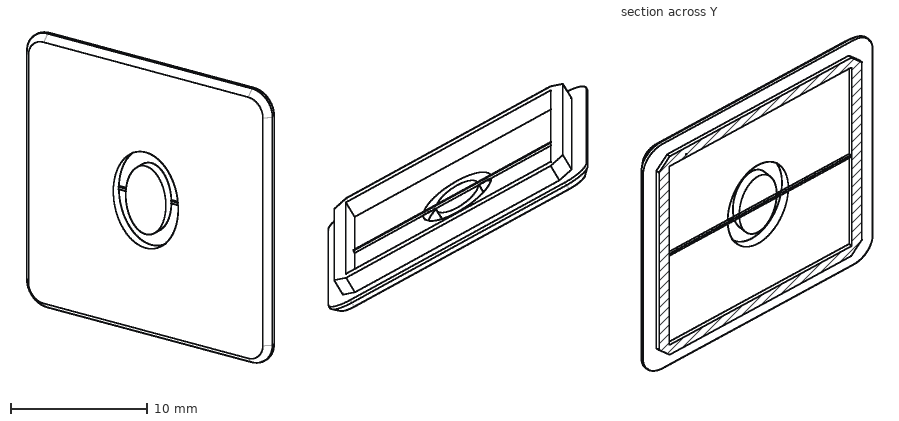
import cadquery as cq

plate_side = 21.85
plate_thickness = 0.75
corner_radius = 1.83
bevel = 0.5

total_depth = 2.03
rim_side = 19.35
rim_corner_cut = 1.03
rim_wall = 1.0
cavity_side = rim_side - 2 * rim_wall
rim_height = total_depth - plate_thickness

island_width = 3.58
island_height = 5.44
opening_gap = 1.1
opening_width = island_width + 2 * opening_gap
opening_height = island_height + 2 * opening_gap
rib_size = 0.2

plate_back = plate_thickness


def plane_at(y):
    """XZ workplane at depth y; a negative extrusion runs towards +Y."""
    return cq.Workplane("XZ", origin=(0, y, 0))


def oval_block(width, height):
    """Elliptical block as thick as the plate."""
    return plane_at(0).ellipse(width / 2, height / 2).extrude(-plate_thickness)


def make_plate():
    """Rounded square plate, bevelled around its front edge."""
    plate = plane_at(0).rect(plate_side, plate_side).extrude(-plate_thickness)
    plate = plate.edges("|Y").fillet(corner_radius)
    return plate.faces("<Y").edges().chamfer(bevel)


def make_rim():
    """Square wall with cut outer corners, open in the middle."""
    rim = plane_at(plate_back).rect(rim_side, rim_side).extrude(-rim_height)
    rim = rim.edges("|Y").chamfer(rim_corner_cut)
    cavity = plane_at(plate_back).rect(cavity_side, cavity_side).extrude(-rim_height)
    return rim.cut(cavity)


def make_rib():
    """Thin square rib on the plate's back, running along X from wall to wall of the rim."""
    return plane_at(plate_back).rect(cavity_side, rib_size).extrude(-rib_size)


result = make_plate().cut(oval_block(opening_width, opening_height))
result = result.union(oval_block(island_width, island_height))
result = result.union(make_rim()).union(make_rib())